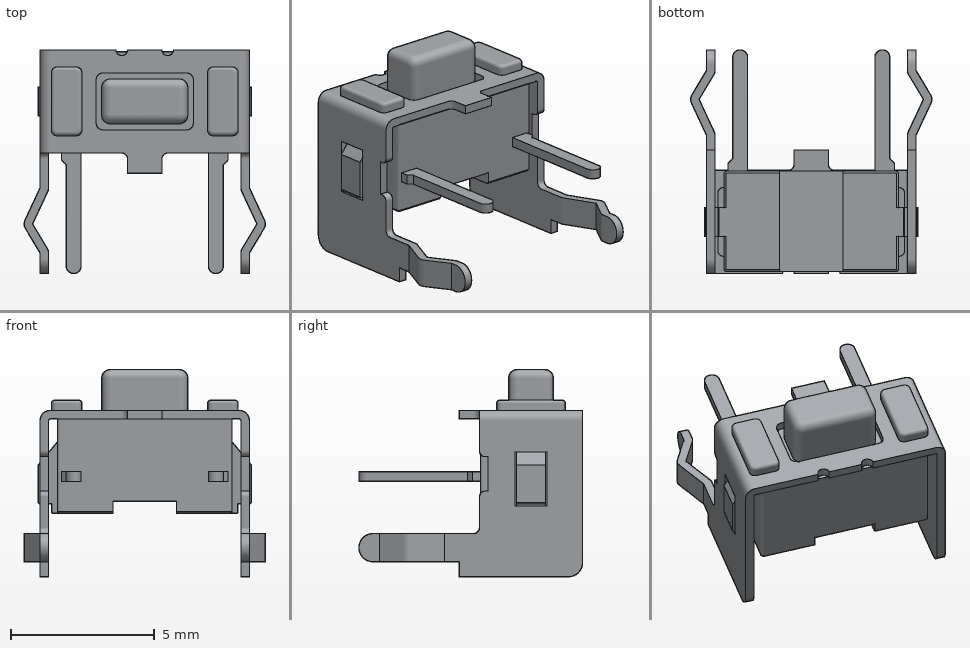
import cadquery as cq
import math


SHEET = 0.3
COVER_WIDTH = 7.3
COVER_DEPTH = 3.6
COVER_HEIGHT = 5.8
BEND_RADIUS = 0.36
CUT_RADIUS = 0.2

COVER_SIDE = COVER_WIDTH / 2
COVER_FRONT = -COVER_DEPTH / 2
COVER_BACK = COVER_DEPTH / 2
SHEET_UNDERSIDE = COVER_HEIGHT - SHEET

TONGUE_WIDTH = 1.2
TONGUE_LENGTH = 0.71
REAR_NOTCH_SPACING = 1.6
OPENING_WIDTH = 3.39
OPENING_DEPTH = 1.99
OPENING_CORNER = 0.25

WALL_BACK_CORNER = 0.5
EDGE_NOTCH_BOTTOM = 2.985
EDGE_NOTCH_TOP = 4.19
EDGE_NOTCH_CUT = 0.295
WINDOW_WIDTH = 1.11
WINDOW_BOTTOM = 2.47
WINDOW_TOP = 4.35

LEG_BOTTOM = 0.52
LEG_HEIGHT = 0.99
LEG_LENGTH = 4.2
BOW = 0.555
BOW_START = 1.21
BOW_OUT_ANGLE = math.radians(25)
BOW_BACK_ANGLE = math.radians(31)
LEG_TIP = COVER_FRONT - LEG_LENGTH

HOUSING_WIDTH = 6.09
HOUSING_BOTTOM = 2.21
HOUSING_FRONT = -1.77
HOUSING_BACK = 1.73
HOUSING_EDGE_RADIUS = 0.11
HOUSING_BOTTOM_CHAMFER = 0.07
HOUSING_SIDE = HOUSING_WIDTH / 2

SLOT_WIDTH = 2.2
SLOT_HEIGHT = 0.42

PAD_WIDTH = 1.07
PAD_DEPTH = 2.4
PAD_RISE = 0.35
PAD_CORNER = 0.2
PAD_TOP_RADIUS = 0.12
PAD_OUTER_SIDE = 3.255
PAD_CENTRE = PAD_OUTER_SIDE - PAD_WIDTH / 2

HOOK_WIDTH = 1.0
HOOK_SIDE = 3.72
HOOK_BOTTOM = 2.54
HOOK_RAMP_BOTTOM = 3.89
HOOK_RAMP_TOP = 4.7
HOOK_CHAMFER = 0.05
HOOK_FOOT_SIDE = 3.25
HOOK_FOOT_CHAMFER = 0.03

PIN_THICKNESS = 0.34
PIN_BOTTOM = 3.33
PIN_INNER_SIDE = 2.21
PIN_WIDTH = 0.53
PIN_ROOT_WIDTH = 0.69
PIN_ROOT_END = -2.04

BUTTON_WIDTH = 3.0
BUTTON_DEPTH = 1.565
BUTTON_TOP = 7.22
BUTTON_RADIUS = 0.3

MIRROR_PLANE = "YZ"


def block(x_range, y_range, z_range):
    """Axis-aligned box between the given limits."""
    (x0, x1), (y0, y1), (z0, z1) = x_range, y_range, z_range
    return cq.Workplane("XY").box(x1 - x0, y1 - y0, z1 - z0, centered=False).translate((x0, y0, z0))


def both_sides(shape):
    """The +X shape together with its mirror image."""
    return shape.union(shape.mirror(MIRROR_PLANE))


def pad_prism(bottom, top):
    """Rounded rectangle of one retaining pad on the +X side."""
    return (
        cq.Workplane("XY", origin=(PAD_CENTRE, 0, bottom))
        .rect(PAD_WIDTH, PAD_DEPTH)
        .extrude(top - bottom)
        .edges("|Z")
        .fillet(PAD_CORNER)
    )


def bent_sheet():
    """Upside-down U of sheet metal, open at the front, back and bottom."""
    outer = (
        block((-COVER_SIDE, COVER_SIDE), (COVER_FRONT, COVER_BACK), (0, COVER_HEIGHT))
        .edges("|Y and >Z")
        .fillet(BEND_RADIUS)
    )
    inner_side = COVER_SIDE - SHEET
    inner = (
        block((-inner_side, inner_side), (COVER_FRONT, COVER_BACK), (0, SHEET_UNDERSIDE))
        .edges("|Y and >Z")
        .fillet(BEND_RADIUS - SHEET)
    )
    return outer.cut(inner).edges("|X and <Z and >Y").fillet(WALL_BACK_CORNER)


def tongue():
    """Tongue at the front of the top, flared into the edge by two fillets."""
    half = TONGUE_WIDTH / 2
    tip = COVER_FRONT - TONGUE_LENGTH
    flare = half + CUT_RADIUS
    flare_end = COVER_FRONT - CUT_RADIUS
    return (
        cq.Workplane("XY", origin=(0, 0, SHEET_UNDERSIDE))
        .moveTo(-half, tip)
        .lineTo(half, tip)
        .lineTo(half, flare_end)
        .radiusArc((flare, COVER_FRONT), CUT_RADIUS)
        .lineTo(-flare, COVER_FRONT)
        .radiusArc((-half, flare_end), CUT_RADIUS)
        .close()
        .extrude(SHEET)
    )


def rear_notches():
    """Two half-round notches in the rear edge of the top."""
    return (
        cq.Workplane("XY", origin=(0, COVER_BACK, SHEET_UNDERSIDE))
        .pushPoints([(-REAR_NOTCH_SPACING / 2, 0), (REAR_NOTCH_SPACING / 2, 0)])
        .circle(CUT_RADIUS)
        .extrude(SHEET)
    )


def button_opening():
    return (
        cq.Workplane("XY", origin=(0, 0, SHEET_UNDERSIDE))
        .rect(OPENING_WIDTH, OPENING_DEPTH)
        .extrude(SHEET)
        .edges("|Z")
        .fillet(OPENING_CORNER)
    )


def edge_notch():
    """Notches in the front edges of both walls, with rounded mouth corners."""
    mouth_bottom = EDGE_NOTCH_BOTTOM - CUT_RADIUS
    mouth_top = EDGE_NOTCH_TOP + CUT_RADIUS
    floor = COVER_FRONT + EDGE_NOTCH_CUT
    round_end = COVER_FRONT + CUT_RADIUS
    return (
        cq.Workplane("YZ")
        .moveTo(COVER_FRONT, mouth_bottom)
        .radiusArc((round_end, EDGE_NOTCH_BOTTOM), CUT_RADIUS)
        .lineTo(floor, EDGE_NOTCH_BOTTOM)
        .lineTo(floor, EDGE_NOTCH_TOP)
        .lineTo(round_end, EDGE_NOTCH_TOP)
        .radiusArc((COVER_FRONT, mouth_top), CUT_RADIUS)
        .close()
        .extrude(COVER_SIDE, both=True)
    )


def wall_windows():
    half = WINDOW_WIDTH / 2
    return block((-COVER_SIDE, COVER_SIDE), (-half, half), (WINDOW_BOTTOM, WINDOW_TOP))


def bow_reach(angle):
    """Length along Y from an outer kink to the apex of the bow, for one bend angle."""
    straight = (BOW - SHEET + SHEET * math.cos(angle)) / math.tan(angle)
    return straight + SHEET * math.sin(angle)


def leg_outline():
    """Side outline of the legs, a band that ends in a half-round tip."""
    tip_radius = LEG_HEIGHT / 2
    leg_top = LEG_BOTTOM + LEG_HEIGHT
    tip_start = LEG_TIP + tip_radius
    return (
        cq.Workplane("YZ")
        .moveTo(COVER_FRONT, LEG_BOTTOM)
        .lineTo(tip_start, LEG_BOTTOM)
        .threePointArc((LEG_TIP, LEG_BOTTOM + tip_radius), (tip_start, leg_top))
        .lineTo(COVER_FRONT, leg_top)
        .close()
        .extrude(COVER_SIDE + BOW)
    )


def leg_strip():
    """The bowed strip of the +X leg, every bend having a sharp inside and a round outside."""
    outer = COVER_SIDE
    inner = COVER_SIDE - SHEET
    apex_x = outer + BOW - SHEET
    start = COVER_FRONT - BOW_START
    apex_y = start - bow_reach(BOW_OUT_ANGLE)
    end = apex_y - bow_reach(BOW_BACK_ANGLE)

    def around(x, y, angle):
        """Point one sheet thickness from a bend centre, at an angle from +X."""
        return (x + SHEET * math.cos(angle), y + SHEET * math.sin(angle))

    def inside_of_kink(y, turn):
        return around(outer, y, math.pi + turn)

    strip = (
        cq.Workplane("XY", origin=(0, 0, LEG_BOTTOM))
        .moveTo(outer, COVER_FRONT)
        .lineTo(outer, start)
        .lineTo(*around(apex_x, apex_y, BOW_OUT_ANGLE))
        .threePointArc((outer + BOW, apex_y), around(apex_x, apex_y, -BOW_BACK_ANGLE))
        .lineTo(outer, end)
        .lineTo(outer, LEG_TIP)
        .lineTo(inner, LEG_TIP)
        .lineTo(inner, end)
        .threePointArc(inside_of_kink(end, -BOW_BACK_ANGLE / 2), inside_of_kink(end, -BOW_BACK_ANGLE))
        .lineTo(apex_x, apex_y)
        .lineTo(*inside_of_kink(start, BOW_OUT_ANGLE))
        .threePointArc(inside_of_kink(start, BOW_OUT_ANGLE / 2), (inner, start))
        .lineTo(inner, COVER_FRONT)
        .close()
        .extrude(LEG_HEIGHT)
    )
    return strip.intersect(leg_outline())


def leg_root():
    """Sheet around the root of the +X leg: a foot under it and a fillet on top of it."""
    inner = COVER_SIDE - SHEET
    foot = block((inner, COVER_SIDE), (COVER_FRONT - TONGUE_LENGTH, COVER_FRONT), (0, LEG_BOTTOM))
    leg_top = LEG_BOTTOM + LEG_HEIGHT
    root_fillet = (
        cq.Workplane("YZ", origin=(inner, 0, 0))
        .moveTo(COVER_FRONT, leg_top)
        .lineTo(COVER_FRONT, leg_top + CUT_RADIUS)
        .radiusArc((COVER_FRONT - CUT_RADIUS, leg_top), CUT_RADIUS)
        .close()
        .extrude(SHEET)
    )
    return foot.union(root_fillet)


def make_cover():
    sheet = bent_sheet().union(tongue())
    sheet = sheet.cut(rear_notches()).cut(button_opening())
    sheet = sheet.cut(edge_notch()).cut(wall_windows())
    sheet = sheet.cut(both_sides(pad_prism(SHEET_UNDERSIDE, COVER_HEIGHT)))
    return sheet.union(both_sides(leg_strip().union(leg_root())))


def housing_block():
    body = (
        block(
            (-HOUSING_SIDE, HOUSING_SIDE),
            (HOUSING_FRONT, HOUSING_BACK),
            (HOUSING_BOTTOM, SHEET_UNDERSIDE),
        )
        .edges("|Z")
        .fillet(HOUSING_EDGE_RADIUS)
        .faces("<Z")
        .chamfer(HOUSING_BOTTOM_CHAMFER)
    )
    half = SLOT_WIDTH / 2
    slot = block(
        (-half, half),
        (HOUSING_FRONT, HOUSING_BACK),
        (HOUSING_BOTTOM, HOUSING_BOTTOM + SLOT_HEIGHT),
    )
    return body.cut(slot)


def pad():
    """Retaining pad that fills its slot in the cover and stands above it."""
    return pad_prism(SHEET_UNDERSIDE, COVER_HEIGHT + PAD_RISE).faces(">Z").edges().fillet(PAD_TOP_RADIUS)


def hook():
    """Ramped snap hook on the +X side, with a narrower foot below."""
    root = HOUSING_SIDE - HOUSING_EDGE_RADIUS
    return (
        cq.Workplane("XZ", origin=(0, HOOK_WIDTH / 2, 0))
        .polyline([
            (root, HOOK_RAMP_TOP),
            (HOUSING_SIDE, HOOK_RAMP_TOP),
            (HOOK_SIDE, HOOK_RAMP_BOTTOM),
            (HOOK_SIDE, HOOK_BOTTOM + HOOK_CHAMFER),
            (HOOK_SIDE - HOOK_CHAMFER, HOOK_BOTTOM),
            (HOOK_FOOT_SIDE, HOOK_BOTTOM),
            (HOOK_FOOT_SIDE, HOUSING_BOTTOM + HOOK_FOOT_CHAMFER),
            (HOOK_FOOT_SIDE - HOOK_FOOT_CHAMFER, HOUSING_BOTTOM),
            (root, HOUSING_BOTTOM),
        ])
        .close()
        .extrude(HOOK_WIDTH)
    )


def pin():
    """Flat contact pin on the +X side: wide root, tapered shoulder and round tip."""
    outer = PIN_INNER_SIDE + PIN_WIDTH
    root = PIN_INNER_SIDE + PIN_ROOT_WIDTH
    shoulder = PIN_ROOT_END - (PIN_ROOT_WIDTH - PIN_WIDTH)
    tip_radius = PIN_WIDTH / 2
    tip_start = LEG_TIP + tip_radius
    return (
        cq.Workplane("XY", origin=(0, 0, PIN_BOTTOM))
        .moveTo(PIN_INNER_SIDE, HOUSING_FRONT)
        .lineTo(PIN_INNER_SIDE, tip_start)
        .threePointArc((PIN_INNER_SIDE + tip_radius, LEG_TIP), (outer, tip_start))
        .lineTo(outer, shoulder)
        .lineTo(root, PIN_ROOT_END)
        .lineTo(root, HOUSING_FRONT)
        .close()
        .extrude(PIN_THICKNESS)
    )


def make_housing():
    body = housing_block()
    for feature in (pad(), hook(), pin()):
        body = body.union(both_sides(feature))
    return body


def make_button():
    """Rounded key that rests on the housing and rises through the cover opening."""
    return (
        cq.Workplane("XY", origin=(0, 0, SHEET_UNDERSIDE))
        .rect(BUTTON_WIDTH, BUTTON_DEPTH)
        .extrude(BUTTON_TOP - SHEET_UNDERSIDE)
        .edges("|Z or >Z")
        .fillet(BUTTON_RADIUS)
    )


cover = make_cover()
housing = make_housing()
button = make_button()

result = cq.Compound.makeCompound([cover.val(), housing.val(), button.val()])